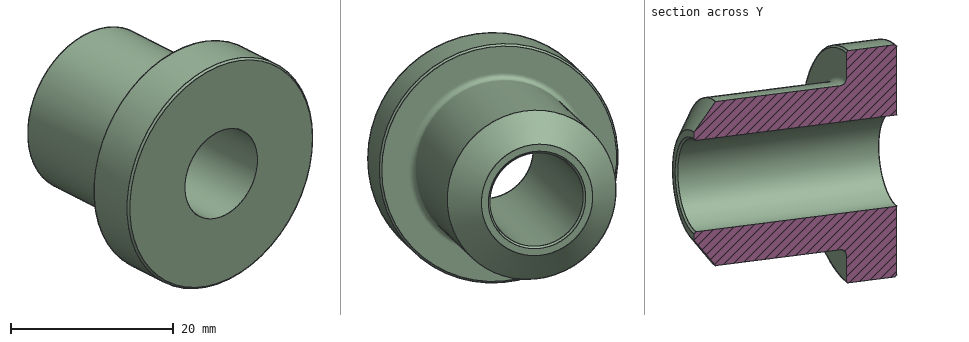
import cadquery as cq

total_length = 26.92
head_thickness = 6.73
nose_length = 2.86

head_diameter = 30.18
body_diameter = 21.34
nose_diameter = 14.06
bore_diameter = 11.79

head_chamfer = 0.254
neck_fillet_radius = 0.762
bore_chamfer = 0.254

head_face_x = total_length - head_thickness
head_radius = head_diameter / 2
body_radius = body_diameter / 2
bore_radius = bore_diameter / 2

selection_margin = 0.01


def make_body():
    """Cylindrical body with a conical nose, running into the head."""
    profile = (
        cq.Workplane("XY")
        .moveTo(0, 0)
        .lineTo(0, nose_diameter / 2)
        .lineTo(nose_length, body_radius)
        .lineTo(head_face_x, body_radius)
        .lineTo(head_face_x, head_radius)
        .lineTo(total_length, head_radius)
        .lineTo(total_length, 0)
        .close()
    )
    return profile.revolve(360, (0, 0, 0), (1, 0, 0))


def edge_at(body, x, radius):
    """Select the largest circular edge at the given X that is no bigger than the given radius."""
    reach = radius + selection_margin
    low = (x - selection_margin, -reach, -reach)
    high = (x + selection_margin, reach, reach)
    box = cq.selectors.BoxSelector(low, high, boundingbox=True)
    return body.edges(box).edges(cq.selectors.RadiusNthSelector(-1))


def chamfer_head_edges(body):
    """Chamfer both outer rims of the head."""
    for rim_x in (head_face_x, total_length):
        body = edge_at(body, rim_x, head_radius).chamfer(head_chamfer)
    return body


def fillet_neck(body):
    """Fillet the inside corner between the body and the head."""
    return edge_at(body, head_face_x, body_radius).fillet(neck_fillet_radius)


def cut_bore(body):
    """Cut the through bore and chamfer its mouth at the nose."""
    bore = cq.Workplane("YZ").circle(bore_radius).extrude(total_length)
    return edge_at(body.cut(bore), 0, bore_radius).chamfer(bore_chamfer)


result = cut_bore(fillet_neck(chamfer_head_edges(make_body())))